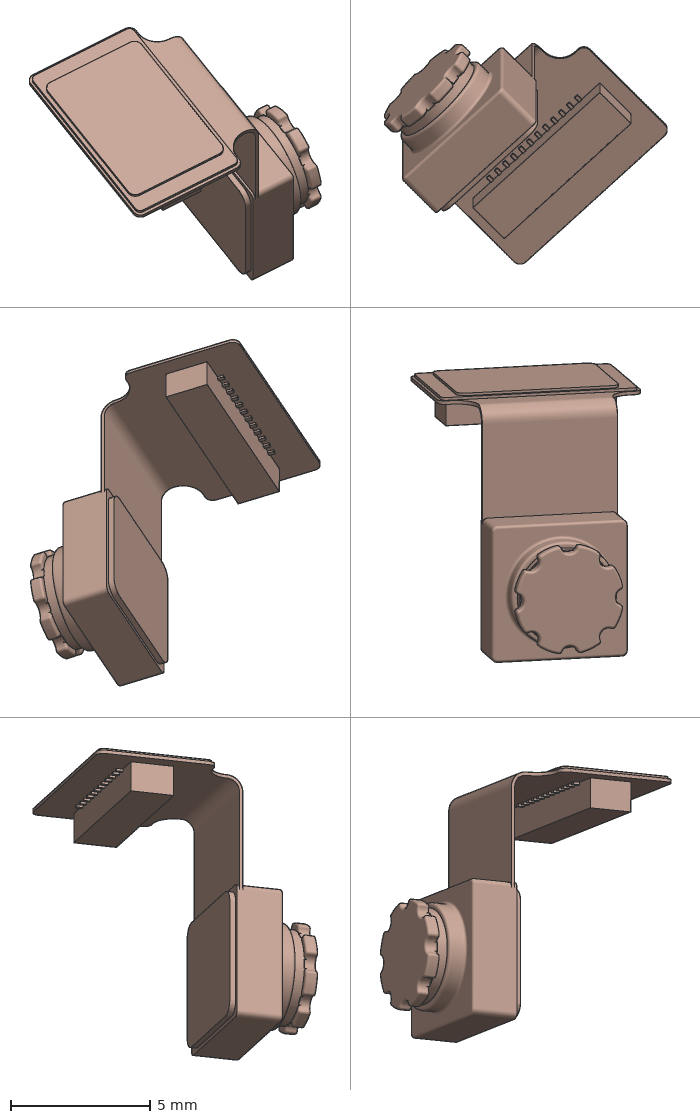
import cadquery as cq
import math


housing_side = 5.01
housing_depth = 1.76
housing_corner_radius = 0.2
housing_front_radius = 0.1
back_pad_side = 4.71
back_pad_thickness = 0.22
back_pad_corner_radius = 0.5

collar_diameter = 3.9
collar_length = 0.67
collar_front_radius = 0.11
collar_base_radius = 0.1
neck_diameter = 3.5
neck_length = 0.39
ring_diameter = 4.005
ring_thickness = 0.46
ring_edge_radius = 0.09
notch_count = 8
notch_radius = 0.32
notch_floor_radius = 1.7
lug_corner_radius = 0.11

flex_thickness = 0.13
flex_back = 0.09
bend_outer_radius = 0.6
plate_width = 7.5
plate_length = 4.5
plate_corner_radius = 0.3
shoulder_radius = 0.8

stiffener_width = 7.26
stiffener_length = 4.3
stiffener_thickness = 0.1
stiffener_corner_radius = 0.2
top_pad_width = 6.0
top_pad_length = 3.99
top_pad_thickness = 0.09
top_pad_corner_radius = 0.3
connector_width = 6.3
connector_length = 1.62
connector_height = 1.1
contact_count = 12
contact_pitch = 0.4
contact_width = 0.14
contact_length = 2.095
contact_height = 0.09

total_height = 9.27
total_length = 8.97
lens_length = collar_length + neck_length + ring_thickness
housing_top = housing_side / 2
housing_bottom = -housing_side / 2
flex_front = flex_back + flex_thickness
flex_bottom = housing_top - housing_corner_radius
flex_top = total_height + housing_bottom - top_pad_thickness - stiffener_thickness
flex_underside = flex_top - flex_thickness
plate_end = housing_depth + lens_length - total_length
plate_start = plate_end + plate_length
plate_center = plate_end + plate_length / 2

pick_margin = 0.01


def block(width, length, height, bottom):
    """Rectangular block centred on the plate, standing on the given Z level."""
    return (
        cq.Workplane("XY", origin=(0, plate_center, bottom))
        .rect(width, length)
        .extrude(height)
    )


def cylinder(diameter, start, length):
    """Cylinder on the lens axis running from Y = start toward +Y."""
    return (
        cq.Workplane("XZ", origin=(0, start, 0))
        .circle(diameter / 2)
        .extrude(-length)
    )


def make_housing():
    body = (
        cq.Workplane("XZ")
        .rect(housing_side, housing_side)
        .extrude(-housing_depth)
        .edges("|Y").fillet(housing_corner_radius)
        .faces(">Y").edges().fillet(housing_front_radius)
    )
    back_pad = (
        cq.Workplane("XZ")
        .rect(back_pad_side, back_pad_side)
        .extrude(back_pad_thickness)
        .edges("|Y").fillet(back_pad_corner_radius)
    )
    return body.union(back_pad)


def make_grip_ring(start):
    """Notched disc with rounded edges; the neck fills the rounding where it passes through."""
    notch_center_radius = notch_floor_radius + notch_radius
    notches = (
        cq.Workplane("XZ", origin=(0, start, 0))
        .polarArray(notch_center_radius, 0, 360, notch_count)
        .circle(notch_radius)
        .extrude(-ring_thickness)
    )
    ring = (
        cylinder(ring_diameter, start, ring_thickness)
        .cut(notches)
        .edges("|Y").fillet(lug_corner_radius)
        .faces("<Y or >Y").edges().fillet(ring_edge_radius)
    )
    neck_core = cylinder(neck_diameter, start, ring_thickness / 2).cut(notches)
    return ring.union(neck_core)


def make_lens():
    collar_front = housing_depth + collar_length
    ring_start = collar_front + neck_length
    collar = (
        cylinder(collar_diameter, housing_depth, collar_length)
        .faces(">Y").edges().fillet(collar_front_radius)
    )
    neck = cylinder(neck_diameter, collar_front, neck_length)
    return collar.union(neck).union(make_grip_ring(ring_start))


def make_flex():
    """Bent strip of constant thickness, cut to the outline of strip, shoulders and plate."""
    bend_inner_radius = bend_outer_radius - flex_thickness
    bend_start = flex_top - bend_outer_radius
    bend_end = flex_front - bend_outer_radius
    bend_cos = math.cos(math.radians(45))
    profile = (
        cq.Workplane("YZ", origin=(-plate_width / 2, 0, 0))
        .moveTo(flex_front, flex_bottom)
        .lineTo(flex_front, bend_start)
        .threePointArc(
            (bend_end + bend_outer_radius * bend_cos, bend_start + bend_outer_radius * bend_cos),
            (bend_end, flex_top),
        )
        .lineTo(plate_end, flex_top)
        .lineTo(plate_end, flex_underside)
        .lineTo(bend_end, flex_underside)
        .threePointArc(
            (bend_end + bend_inner_radius * bend_cos, bend_start + bend_inner_radius * bend_cos),
            (flex_back, bend_start),
        )
        .lineTo(flex_back, flex_bottom)
        .close()
        .extrude(plate_width)
    )
    strip_length = flex_front - plate_end
    outline_height = flex_top - flex_bottom
    plate_outline = block(plate_width, plate_length, outline_height, flex_bottom)
    strip_outline = (
        cq.Workplane("XY", origin=(0, plate_end + strip_length / 2, flex_bottom))
        .rect(housing_side, strip_length)
        .extrude(outline_height)
    )
    outline = plate_outline.edges("|Z").fillet(plate_corner_radius).union(strip_outline)
    shoulder_corners = cq.selectors.BoxSelector(
        (-housing_side / 2 - pick_margin, plate_start - pick_margin, flex_bottom),
        (housing_side / 2 + pick_margin, plate_start + pick_margin, flex_top),
    )
    outline = outline.edges("|Z").edges(shoulder_corners).fillet(shoulder_radius)
    return profile.intersect(outline)


def make_plate_layers():
    stiffener = (
        block(stiffener_width, stiffener_length, stiffener_thickness, flex_top)
        .edges("|Z").fillet(stiffener_corner_radius)
    )
    top_pad = (
        block(top_pad_width, top_pad_length, top_pad_thickness, flex_top + stiffener_thickness)
        .edges("|Z").fillet(top_pad_corner_radius)
    )
    connector = block(
        connector_width, connector_length, connector_height, flex_underside - connector_height
    )
    return stiffener.union(top_pad).union(connector)


def make_contacts():
    """Row of thin bars that show on both long sides of the connector."""
    return (
        cq.Workplane("XY", origin=(0, plate_center, flex_underside))
        .rarray(contact_pitch, 0.09, contact_count, 1)
        .rect(contact_width, contact_length)
        .extrude(-contact_height)
    )


def make_camera():
    """Housing and lens joined, with a small flare where the collar meets the housing."""
    collar_foot = cq.selectors.BoxSelector(
        (-collar_diameter, housing_depth - pick_margin, -collar_diameter),
        (collar_diameter, housing_depth + pick_margin, collar_diameter),
    )
    return (
        make_housing()
        .union(make_lens())
        .edges("%CIRCLE").edges(collar_foot).fillet(collar_base_radius)
    )


result = make_camera().union(make_flex()).union(make_plate_layers()).union(make_contacts())